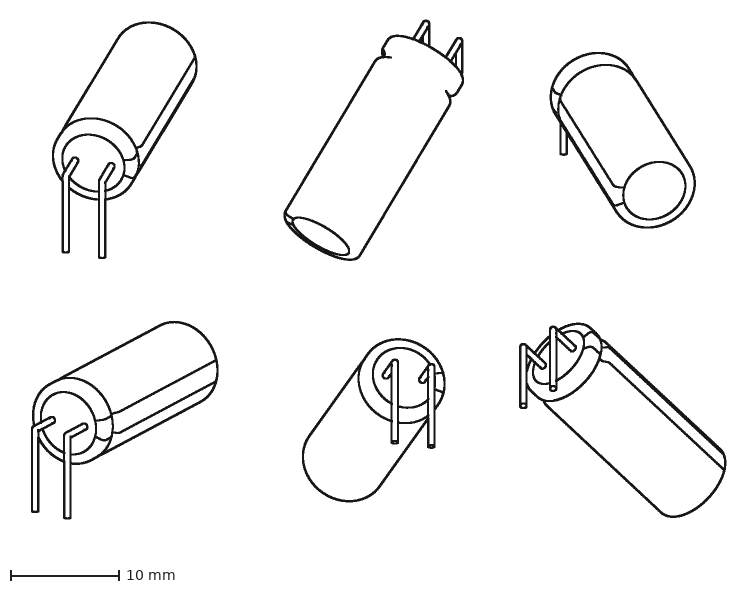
import cadquery as cq
import math

can_diameter = 8.0
can_length = 20.0
edge_fillet = 0.35
groove_radius = 0.5
groove_position = 1.98
core_diameter = 0.75 * can_diameter
stripe_angle = 30.0

lead_diameter = 0.6
lead_pitch = 3.5
lead_reach = 3.3
lead_drop = 8.0

can_radius = can_diameter / 2
lead_radius = lead_diameter / 2


def cylinder_along_y(diameter, length):
    """Cylinder on the Y axis, running from Y = 0 towards +Y."""
    return cq.Workplane("XZ").circle(diameter / 2).extrude(-length)


def make_full_sleeve():
    """Grooved, rounded tube before it is divided into sleeve and stripe."""
    groove = (
        cq.Workplane("XY")
        .center(can_radius, groove_position)
        .circle(groove_radius)
        .revolve(360, (-can_radius, 0), (-can_radius, 1))
    )
    solid_can = cylinder_along_y(can_diameter, can_length).cut(groove)
    largest_circles = cq.selectors.RadiusNthSelector(-1)
    rounded_can = solid_can.edges("%CIRCLE").edges(largest_circles).fillet(edge_fillet)
    return rounded_can.cut(cylinder_along_y(core_diameter, can_length))


def make_stripe_wedge():
    """Wedge from the can axis that encloses the stripe."""
    wedge_reach = can_diameter
    half_width = wedge_reach * math.tan(math.radians(stripe_angle / 2))
    return (
        cq.Workplane("XZ")
        .polyline([(0, 0), (wedge_reach, half_width), (wedge_reach, -half_width)])
        .close()
        .extrude(-can_length)
    )


def make_lead(x):
    """Round wire leaving the end face and bending down, with a ball at the bend."""
    bend_y = lead_radius - lead_reach
    bend = (x, bend_y, 0)
    straight = cq.Workplane("XZ", origin=(x, 0, 0)).circle(lead_radius).extrude(-bend_y)
    drop = cq.Workplane("XY", origin=bend).circle(lead_radius).extrude(-lead_drop)
    ball = cq.Workplane("XY", origin=bend).sphere(lead_radius)
    return straight.union(drop).union(ball)


full_sleeve = make_full_sleeve()
stripe_wedge = make_stripe_wedge()

sleeve = full_sleeve.cut(stripe_wedge)
stripe = full_sleeve.intersect(stripe_wedge)
core = cylinder_along_y(core_diameter, can_length)
leads = [make_lead(side * lead_pitch / 2) for side in (-1, 1)]

bodies = [sleeve, stripe, core, *leads]
result = cq.Compound.makeCompound([body.solids().val() for body in bodies])